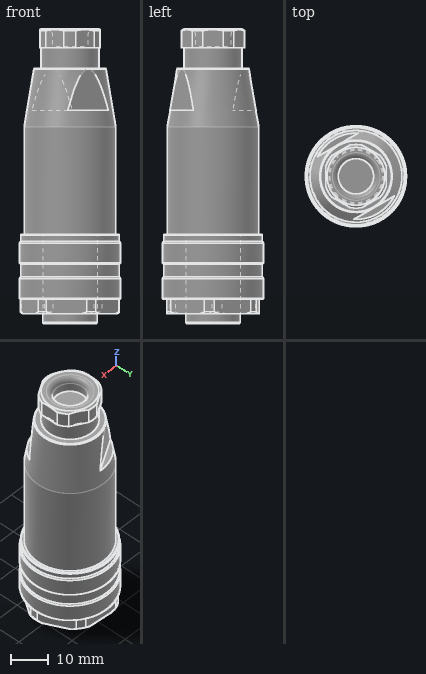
import cadquery as cq
import math

total_height = 78.4
nut_bottom = 2.6
nut_top = 23.75

stem_radius = 7.3
stem_chamfer = 0.3
barrel_radius = 12.2
barrel_top = 52.4
shoulder_radius = 9.65
shoulder_top = 68.0
shoulder_chamfer = 0.2
neck_radius = 7.8
cap_bottom = 73.4
cap_flat_distance = 8.0
cap_corner_radius = 8.5
cap_face_radius = 7.7
cap_flat_angle = 0.0
cap_chamfer_slope = 30.0

bore_radius = 4.7
bore_depth = 4.6
bore_mouth_round = 1.65

spanner_flat_distance = 9.65
spanner_flat_bottom = 56.85
spanner_flat_angles = (-60.0, 120.0)

sleeve_radius = 13.2
sleeve_bottom = 6.4
sleeve_chamfer = 0.2
band_radius = 13.5
band_height = 5.6
band_bottoms = (sleeve_bottom, 15.8)
band_lead_in = 0.5
band_chamfer = 0.3
nut_flat_distance = 12.0
nut_chamfer = 0.55
nut_flat_angle = 25.7

hex_half_angle = 180 / 6


def cylinder(radius, bottom, top):
    return cq.Workplane("XY").workplane(offset=bottom).circle(radius).extrude(top - bottom)


def hex_prism(flat_distance, flat_angle, bottom, top):
    """Hexagon with one flat facing flat_angle degrees from +X."""
    corner_diameter = 2 * flat_distance / math.cos(math.radians(hex_half_angle))
    prism = cq.Workplane("XY").workplane(offset=bottom).polygon(6, corner_diameter).extrude(top - bottom)
    return prism.rotate((0, 0, 0), (0, 0, 1), flat_angle + hex_half_angle)


def make_cap():
    """Hexagon with turned corners, a chamfered top and a shallow rounded bore."""
    cap_chamfer = cap_corner_radius - cap_face_radius
    chamfer_height = cap_chamfer * math.tan(math.radians(cap_chamfer_slope))
    blank = cylinder(cap_corner_radius, cap_bottom, total_height)
    blank = blank.faces(">Z").chamfer(chamfer_height, cap_chamfer)
    cap = blank.intersect(hex_prism(cap_flat_distance, cap_flat_angle, cap_bottom, total_height))
    cap = cap.cut(cylinder(bore_radius, total_height - bore_depth, total_height))
    mouth_edge = cq.selectors.RadiusNthSelector(0)
    return cap.faces(">Z").edges(mouth_edge).fillet(bore_mouth_round)


def make_shoulder():
    """Tapered shoulder with two opposite spanner flats."""
    taper = (
        cq.Workplane("XZ")
        .moveTo(0, barrel_top)
        .lineTo(barrel_radius, barrel_top)
        .lineTo(shoulder_radius, shoulder_top - shoulder_chamfer)
        .lineTo(shoulder_radius - shoulder_chamfer, shoulder_top)
        .lineTo(0, shoulder_top)
        .close()
        .revolve(360, (0, 0, 0), (0, 1, 0))
    )
    flat_height = shoulder_top - spanner_flat_bottom
    for angle in spanner_flat_angles:
        cutter = cq.Workplane("XY").box(
            barrel_radius, 2 * barrel_radius, flat_height, centered=(False, True, False)
        )
        cutter = cutter.translate((spanner_flat_distance, 0, spanner_flat_bottom))
        taper = taper.cut(cutter.rotate((0, 0, 0), (0, 0, 1), angle))
    return taper


def make_core():
    stem = cylinder(stem_radius, 0, nut_top).faces("<Z").chamfer(stem_chamfer)
    barrel = cylinder(barrel_radius, nut_top, barrel_top)
    neck = cylinder(neck_radius, shoulder_top, cap_bottom)
    return stem.union(barrel).union(make_shoulder()).union(neck).union(make_cap())


def make_band(bottom):
    """Raised band with a sloping upper edge and a chamfered lower edge."""
    band = cylinder(band_radius, bottom, bottom + band_height + band_lead_in)
    band = band.faces(">Z").chamfer(band_lead_in, band_radius - sleeve_radius)
    return band.faces("<Z").chamfer(band_chamfer)


def make_coupling_nut():
    nut = cylinder(sleeve_radius, sleeve_bottom, nut_top).faces(">Z").chamfer(sleeve_chamfer)
    for bottom in band_bottoms:
        nut = nut.union(make_band(bottom))
    hexagon = cylinder(sleeve_radius, nut_bottom, sleeve_bottom).faces("<Z").chamfer(nut_chamfer)
    hexagon = hexagon.intersect(hex_prism(nut_flat_distance, nut_flat_angle, nut_bottom, sleeve_bottom))
    return nut.union(hexagon).cut(cylinder(stem_radius, nut_bottom, nut_top))


core = make_core()
coupling_nut = make_coupling_nut()

result = cq.Compound.makeCompound([core.solids().val(), coupling_nut.solids().val()])